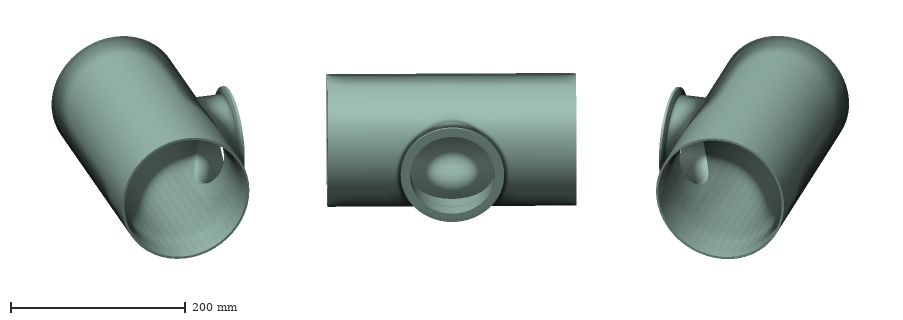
import cadquery as cq

run_length = 285.8
run_outer_diameter = 152.3
run_inner_diameter = 147.0

overall_depth = 171.5
branch_outer_diameter = 101.7
branch_inner_diameter = 98.3
saddle_fillet = 1.7

ferrule_inner_diameter = 97.5
ferrule_length = 16.0
flange_diameter = 119.0
flange_rim_thickness = 3.0
flange_thickness = 6.0
flange_fillet = 1.0

run_outer_radius = run_outer_diameter / 2
branch_outer_radius = branch_outer_diameter / 2
flange_radius = flange_diameter / 2
face_y = overall_depth - run_outer_radius
ferrule_start_y = face_y - ferrule_length
flange_rim_back_y = face_y - flange_rim_thickness
flange_root_y = face_y - flange_thickness


def cylinder_along_x(diameter):
    return cq.Workplane("YZ").circle(diameter / 2).extrude(run_length / 2, both=True)


def cylinder_along_y(diameter, start_y, end_y):
    plane = cq.Plane(origin=(0, start_y, 0), xDir=(1, 0, 0), normal=(0, 1, 0))
    return cq.Workplane(plane).circle(diameter / 2).extrude(end_y - start_y)


def filleted_tee():
    """Solid run and branch tube, with a small fillet along the saddle curve."""
    run = cylinder_along_x(run_outer_diameter)
    branch = cylinder_along_y(branch_outer_diameter, 0, ferrule_start_y)
    tee = run.union(branch)
    return tee.edges("not(%CIRCLE or %LINE)").fillet(saddle_fillet)


def solid_ferrule():
    """Short tube end with a thin clamp flange that has a conical, rounded back."""
    profile = (
        cq.Workplane("XY")
        .moveTo(0, face_y)
        .lineTo(flange_radius, face_y)
        .lineTo(flange_radius, flange_rim_back_y)
        .lineTo(branch_outer_radius, flange_root_y)
        .lineTo(branch_outer_radius, ferrule_start_y)
        .lineTo(0, ferrule_start_y)
        .close()
    )
    body = profile.revolve(360, (0, 0, 0), (0, 1, 0))
    cone_edges = body.edges("%CIRCLE").edges("not(<Y or >Y)")
    return cone_edges.fillet(flange_fillet)


result = filleted_tee().union(solid_ferrule(), clean=False)

bores = [
    cylinder_along_x(run_inner_diameter),
    cylinder_along_y(branch_inner_diameter, 0, ferrule_start_y),
    cylinder_along_y(ferrule_inner_diameter, ferrule_start_y, face_y),
]
for bore in bores:
    result = result.cut(bore, clean=False)